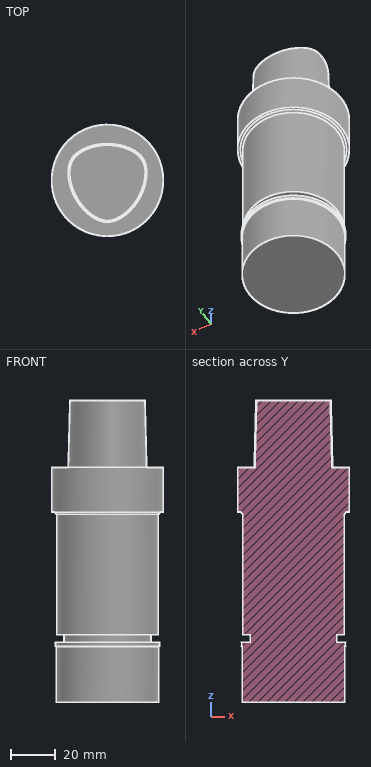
import cadquery as cq
import math

total_height = 135.0
taper_length = 30.0
flange_height = 20.0
neck_height = 1.0
base_height = 24.85
band_height = 2.15
groove_height = 3.2

flange_top = total_height - taper_length
flange_bottom = flange_top - flange_height
body_top = flange_bottom - neck_height
band_top = base_height + band_height
groove_top = band_top + groove_height

base_diameter = 46.0
band_diameter = 46.7
groove_diameter = 39.0
body_diameter = 45.5
neck_top_diameter = body_diameter + 2 * neck_height
flange_diameter = 50.0
band_chamfer_height = (band_diameter - base_diameter) / 2

shank_base_width = 35.15
shank_taper_ratio = 1 / 20
lobe_eccentricity = 1.12
shank_top_width = shank_base_width - taper_length * shank_taper_ratio
section_points = 36


def lobed_point(width, angle):
    """Point on the constant-width three-lobed curve at the given normal angle."""
    radius = width / 2
    e = lobe_eccentricity
    along = radius * math.cos(angle) - 2 * e * math.cos(2 * angle) + e * math.cos(4 * angle)
    across = radius * math.sin(angle) + 2 * e * math.sin(2 * angle) + e * math.sin(4 * angle)
    return (across, along)


def lobed_section(workplane, width):
    """Closed smooth three-lobed outline of the given width."""
    step = 2 * math.pi / section_points
    points = [lobed_point(width, i * step) for i in range(section_points)]
    return workplane.spline(points, periodic=True).close()


def tapered_shank():
    """Loft between the wide section on the flange and the narrow end section."""
    lower = lobed_section(cq.Workplane("XY").workplane(offset=flange_top), shank_base_width)
    upper = lobed_section(lower.workplane(offset=taper_length), shank_top_width)
    return upper.loft(ruled=True, combine=True)


def turned_body():
    """Revolved steps from the base to the flange, with a conical neck under the flange."""
    profile = [
        (0, 0),
        (base_diameter / 2, 0),
        (base_diameter / 2, base_height),
        (band_diameter / 2, base_height + band_chamfer_height),
        (band_diameter / 2, band_top),
        (groove_diameter / 2, band_top),
        (groove_diameter / 2, groove_top),
        (body_diameter / 2, groove_top),
        (body_diameter / 2, body_top),
        (neck_top_diameter / 2, flange_bottom),
        (flange_diameter / 2, flange_bottom),
        (flange_diameter / 2, flange_top),
        (0, flange_top),
    ]
    return cq.Workplane("XZ").polyline(profile).close().revolve(360, (0, 0), (0, 1))


result = turned_body().union(tapered_shank())